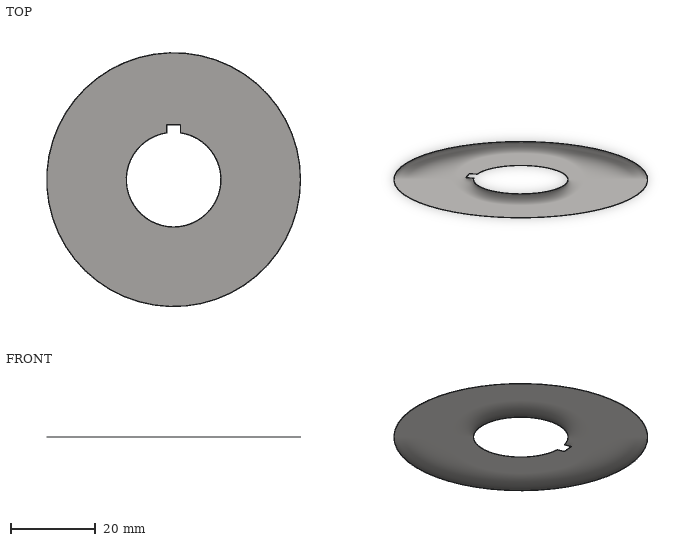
import cadquery as cq

plate_diameter = 60.0
plate_thickness = 0.04
hole_diameter = 22.3
notch_width = 3.2
notch_reach = 12.95


def make_disc():
    """Flat round plate lying on the XY plane."""
    return cq.Workplane("XY").circle(plate_diameter / 2).extrude(plate_thickness)


def make_keyed_opening():
    """Round hole joined to a rectangular notch on its +Y side."""
    hole = cq.Workplane("XY").circle(hole_diameter / 2).extrude(plate_thickness)
    notch = (
        cq.Workplane("XY")
        .center(0, notch_reach / 2)
        .rect(notch_width, notch_reach)
        .extrude(plate_thickness)
    )
    return hole.union(notch)


result = make_disc().cut(make_keyed_opening())